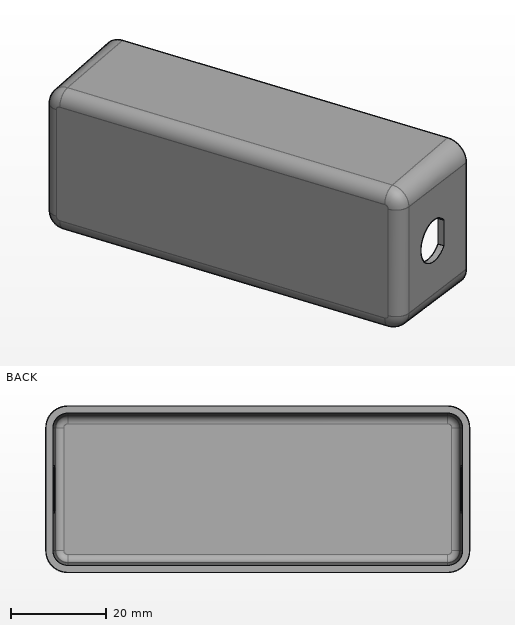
import cadquery as cq
import math

length = 88.9
depth = 25.4
height = 34.9

corner_radius = 4.6
front_radius = 3.2
draft_angle = 1.5
wall = 1.5

hole_diameter = 10.0
hole_shift = 0.1
flat_offset = 3.9

rim_y = depth / 2


def drafted_block(inset, block_depth, edge_radius):
    """Drafted block from the rim towards -Y, shrunk by inset on its sides."""
    return (
        cq.Workplane("XZ", origin=(0, rim_y, 0))
        .sketch()
        .rect(length - 2 * inset, height - 2 * inset)
        .vertices()
        .fillet(corner_radius - inset)
        .finalize()
        .extrude(block_depth, taper=draft_angle)
        .faces("<Y")
        .edges()
        .fillet(edge_radius)
    )


def hole_cutter():
    """D-shaped bar along X, longer than the box."""
    radius = hole_diameter / 2
    half_flat = math.sqrt(radius**2 - flat_offset**2)
    return (
        cq.Workplane("YZ", origin=(0, hole_shift, 0))
        .moveTo(flat_offset, -half_flat)
        .threePointArc((-radius, 0), (flat_offset, half_flat))
        .close()
        .extrude(length, both=True)
    )


rim_wall = wall / math.cos(math.radians(draft_angle))
outer = drafted_block(0, depth, front_radius)
cavity = drafted_block(rim_wall, depth - wall, front_radius - wall)

result = outer.cut(cavity).cut(hole_cutter())